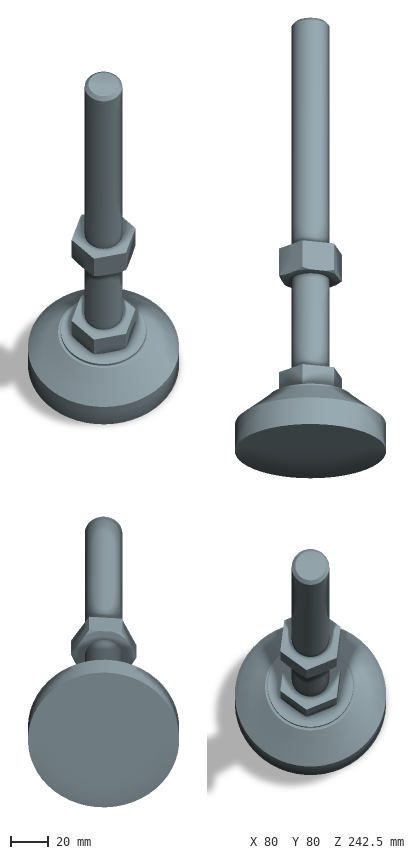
import cadquery as cq
import math

TOTAL_HEIGHT = 242.5

FOOT_RADIUS = 40.0
RIM_HEIGHT = 15.0
CONE_TOP_RADIUS = 24.0
CONE_TOP_Z = 28.1
COLLAR_RADIUS = 22.5
COLLAR_TOP_Z = 29.5

ROD_RADIUS = 10.0
ROD_TIP_CHAMFER = 2.0
HEX_ACROSS_FLATS = 30.0
LOWER_HEX_HEIGHT = 13.3
UPPER_HEX_BOTTOM_Z = 97.0
UPPER_HEX_HEIGHT = 16.0

BEVEL_BOTTOM_RADIUS = 15.5
BEVEL_ANGLE = 30.0

HEX_ACROSS_CORNERS = HEX_ACROSS_FLATS / math.cos(math.radians(30))


def make_foot():
    """Solid of revolution: cylindrical rim, cone and a low collar on top."""
    return (
        cq.Workplane("XZ")
        .moveTo(0, 0)
        .lineTo(FOOT_RADIUS, 0)
        .lineTo(FOOT_RADIUS, RIM_HEIGHT)
        .lineTo(CONE_TOP_RADIUS, CONE_TOP_Z)
        .lineTo(COLLAR_RADIUS, CONE_TOP_Z)
        .lineTo(COLLAR_RADIUS, COLLAR_TOP_Z)
        .lineTo(0, COLLAR_TOP_Z)
        .close()
        .revolve(360, (0, 0), (0, 1))
    )


def make_hexagon(bottom_z, height):
    """Hexagonal prism with corners on the X axis and beveled lower corners."""
    prism = (
        cq.Workplane("XY", origin=(0, 0, bottom_z))
        .polygon(6, HEX_ACROSS_CORNERS)
        .extrude(height)
    )
    corner_radius = HEX_ACROSS_CORNERS / 2
    bevel_height = (corner_radius - BEVEL_BOTTOM_RADIUS) * math.tan(math.radians(BEVEL_ANGLE))
    envelope = (
        cq.Workplane("XZ", origin=(0, 0, bottom_z))
        .moveTo(0, 0)
        .lineTo(BEVEL_BOTTOM_RADIUS, 0)
        .lineTo(corner_radius, bevel_height)
        .lineTo(corner_radius, height)
        .lineTo(0, height)
        .close()
        .revolve(360, (0, 0), (0, 1))
    )
    return prism.intersect(envelope)


def make_spindle():
    """Rod standing on the foot collar, with both hexagons fixed to it."""
    rod = (
        cq.Workplane("XY", origin=(0, 0, COLLAR_TOP_Z))
        .circle(ROD_RADIUS)
        .extrude(TOTAL_HEIGHT - COLLAR_TOP_Z)
        .faces(">Z")
        .chamfer(ROD_TIP_CHAMFER)
    )
    lower_hex = make_hexagon(COLLAR_TOP_Z, LOWER_HEX_HEIGHT)
    upper_hex = make_hexagon(UPPER_HEX_BOTTOM_Z, UPPER_HEX_HEIGHT)
    return rod.union(lower_hex).union(upper_hex)


foot = make_foot()
spindle = make_spindle()

result = cq.Compound.makeCompound([foot.val(), spindle.val()])